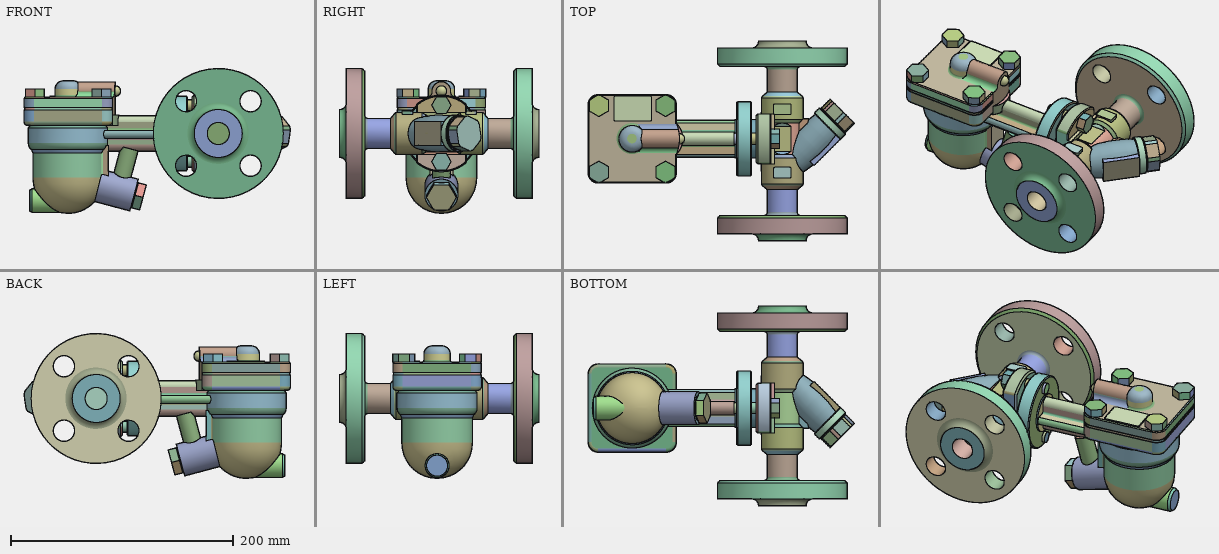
import cadquery as cq
import math

TRAP_X = -135.0
PLANE_Y = 2.0

HALF_ARC = math.sin(math.radians(45))

FACE_Y = 90.0
FLANGE_FRONT_Y = 83.8
FLANGE_BACK_Y = 67.0
FLANGE_R = 58.5
FLANGE_CHAMFER = 2.5
RAISED_FACE_R = 21.5
RAISED_FACE_FILLET = 6.0
FLANGE_HOLE_D = 19.0
FLANGE_HOLE_CIRCLE_R = 41.0
FLANGE_HOLE_COUNT = 4
FLANGE_HOLE_TURN = 45
BORE_D = 20.0
BORE_DEPTH = FACE_Y - FLANGE_BACK_Y
NECK_R = 13.7
NECK_FILLET = 2.6
NECK_END_Y = 44.0
SOCKET_R = 19.0
SOCKET_EDGE_R = 18.0
SOCKET_EDGE_Y = 40.3
SOCKET_START_Y = 39.0

CORE_R = 16.8
CORE_TOP_Z = 15.0
CORE_FLAT_HALF = 11.3
CORE_HALF = 14.2
CORE_SHOULDER_HALF = 17.3

PAD_LENGTH = 16.0
PAD_WIDTH = 9.8
PAD_Y = 28.5
PAD_TOP_Z = 20.2
PAD_CORNER = 1.5

BRANCH_ANGLE = 45
BRANCH_SHIFT = 13.7
BRANCH_ROOT_T = -7.2
BRANCH_ROOT_R = 13.7
BRANCH_BELLY_T = 12.0
BRANCH_BELLY_R = 16.3
BRANCH_END_R = 15.4
RING_T = 38.0
RING_R = 16.8
RING_THICK = 7.0
RING_EDGE = 0.5
CAP_GROOVE = 1.0
CAP_GROOVE_R = 15.0
CAP_END_T = 57.0
CAP_HEX_R = 16.8
CAP_TRIM_R = 15.8
CAP_TURN = 41.6
BOSS_START_T = 4.5
BOSS_OFFSET = 16.5
BOSS_HALF_HEIGHT = 10.8
GUSSET_Y = 20.2
GUSSET_HALF_HEIGHT = 7.2

COLLAR_X = -23.8
COLLAR_BACK_X = -10.0
COLLAR_R = 34.5
COLLAR_HALF_WIDTH = 22.5
COLLAR_EDGE = 1.7
COLLAR_BACK_EDGE = 1.0
COLLAR_CORNER = 3.0
SADDLE_BACK_X = -7.0
SADDLE_HALF_HEIGHT = 19.0
LOOSE_FLANGE_X = -41.0
LOOSE_FLANGE_BACK_X = -27.8
LOOSE_FLANGE_R = 33.5
LOOSE_FLANGE_CHAMFER = 1.0
STUD_D = 10.0
STUD_Z = 25.5
STUD_X = -43.7
NUT_END_X = -2.5
NUT_CORNER_D = 17.5

ARM_DISC_R = 17.5
ARM_DISC_X = -42.5
ARM_TUBE_R = 6.0
ARM_TUBE_Z = 10.0
WEB_FILLET = 1.7
BAR_Z = -0.7
BAR_HALF_HEIGHT = 3.5
BAR_EDGE = 14.2
BAR_TIP = 16.8

COVER_HALF = 39.8
COVER_CORNER_R = 9.0
COVER_TOP_Z = 32.6
COVER_BOTTOM_Z = 23.5
GASKET_BOTTOM_Z = 21.0
GASKET_INSET = 0.5
BODY_FLANGE_BOTTOM_Z = 7.2
BODY_FLANGE_ROUND = 3.4
COVER_CHAMFER = 1.0
HEAD_PITCH = 60.0
HEAD_CORNER_D = 20.0
HEAD_HEIGHT = 7.5
PLATE_X = (-151.7, -117.5)
PLATE_Y = (17.8, 40.5)
PLATE_THICK = 1.2
PLATE_CORNER = 2.0

DOME_R = 12.0
DOME_TOP_Z = 47.5
DOME_TOP_D = 8.6
DOME_FLARE = 2.0
PASSAGE_R = 8.5
PASSAGE_Z = 38.2
PASSAGE_FOOT = 13.0
PASSAGE_END_X = -92.6
PASSAGE_PLUG_R = 4.8
BULGE_HALF = 14.0
BULGE_ROOT_X = -89.5
BULGE_ROOT_TOP_Z = 16.8

BOWL_R = 32.0
BOWL_CENTRE_Z = -40.0
SHOULDER_R = 36.0
SHOULDER_TOP_Z = 5.0
SHOULDER_BOTTOM_Z = -9.0
SHOULDER_NECK_R = 34.3
SHOULDER_BEND_R = 33.0
SHOULDER_BEND_Z = -14.6
BOWL_TOP_Z = -17.5
RIB_X = -99.0
RIB_HALF_WIDTH = 10.3
RIB_TOP_Z = -10.8
RIB_FILLET = 2.0

STRAINER_TILT = 15
STRAINER_END = (-75.8, -55.5)
STRAINER_R = 15.0
STRAINER_LENGTH = 43.2
STRAINER_GROOVE = 1.0
STRAINER_GROOVE_R = 11.3
STRAINER_NUT_LENGTH = 8.5
STRAINER_NUT_CORNER_D = 27.0
RISER_TOP = (-80.0, -13.7)
RISER_D = 16.0
RISER_LENGTH = 36.0

DRAIN_D = 21.5
DRAIN_FACE_D = 19.0
DRAIN_EDGE = 2.5
DRAIN_X = -170.0
DRAIN_Z = -60.5


def disc_x(x_start, x_end, radius, z=0.0):
    """Cylinder along X in the centre plane."""
    plane = cq.Plane((x_start, PLANE_Y, z), xDir=(0, 1, 0), normal=(1, 0, 0))
    return cq.Workplane(plane).circle(radius).extrude(x_end - x_start)


def hexagon(plane, corner_r, length, turn=0.0):
    """Hexagonal prism with its first corner turned from the plane's X direction."""
    angles = [math.radians(turn + 60 * i) for i in range(6)]
    points = [(corner_r * math.cos(a), corner_r * math.sin(a)) for a in angles]
    return cq.Workplane(plane).polyline(points).close().extrude(length)



def pipe_end(side):
    """Flange, neck and outer end of the socket on one side (+1 or -1) of the pipeline."""
    face_foot_r = RAISED_FACE_R + RAISED_FACE_FILLET
    neck_foot_r = NECK_R + NECK_FILLET
    body = (
        cq.Workplane("XY")
        .moveTo(0, FACE_Y)
        .lineTo(RAISED_FACE_R, FACE_Y)
        .lineTo(RAISED_FACE_R, FLANGE_FRONT_Y + RAISED_FACE_FILLET)
        .threePointArc(
            (
                face_foot_r - RAISED_FACE_FILLET * HALF_ARC,
                FLANGE_FRONT_Y + RAISED_FACE_FILLET * (1 - HALF_ARC),
            ),
            (face_foot_r, FLANGE_FRONT_Y),
        )
        .lineTo(FLANGE_R, FLANGE_FRONT_Y)
        .lineTo(FLANGE_R, FLANGE_BACK_Y + FLANGE_CHAMFER)
        .lineTo(FLANGE_R - FLANGE_CHAMFER, FLANGE_BACK_Y)
        .lineTo(neck_foot_r, FLANGE_BACK_Y)
        .threePointArc(
            (neck_foot_r - NECK_FILLET * HALF_ARC, FLANGE_BACK_Y - NECK_FILLET * (1 - HALF_ARC)),
            (NECK_R, FLANGE_BACK_Y - NECK_FILLET),
        )
        .lineTo(NECK_R, NECK_END_Y)
        .lineTo(SOCKET_EDGE_R, SOCKET_EDGE_Y)
        .lineTo(SOCKET_R, SOCKET_START_Y)
        .lineTo(0, SOCKET_START_Y)
        .close()
        .revolve(360, (0, 0), (0, 1))
    )
    outer_face = cq.Workplane("XZ", origin=(0, FACE_Y, 0))
    hole_pattern = outer_face.polarArray(FLANGE_HOLE_CIRCLE_R, FLANGE_HOLE_TURN, 360, FLANGE_HOLE_COUNT)
    holes = hole_pattern.circle(FLANGE_HOLE_D / 2).extrude(FACE_Y - NECK_END_Y)
    bore = outer_face.circle(BORE_D / 2).extrude(BORE_DEPTH)
    body = body.cut(holes).cut(bore)
    return body if side > 0 else body.mirror("XZ")


def valve_core():
    """Two sockets joined by a slimmer middle with a flat top."""
    core = (
        cq.Workplane("XY")
        .moveTo(0, -SOCKET_START_Y)
        .lineTo(SOCKET_R, -SOCKET_START_Y)
        .lineTo(SOCKET_R, PLANE_Y - CORE_SHOULDER_HALF)
        .lineTo(CORE_R, PLANE_Y - CORE_HALF)
        .lineTo(CORE_R, PLANE_Y + CORE_HALF)
        .lineTo(SOCKET_R, PLANE_Y + CORE_SHOULDER_HALF)
        .lineTo(SOCKET_R, SOCKET_START_Y)
        .lineTo(0, SOCKET_START_Y)
        .close()
        .revolve(360, (0, 0), (0, 1))
    )
    flat = (
        cq.Workplane("YZ", origin=(0, PLANE_Y, 0))
        .polyline([
            (-CORE_FLAT_HALF, CORE_TOP_Z),
            (CORE_FLAT_HALF, CORE_TOP_Z),
            (CORE_HALF, CORE_R),
            (CORE_SHOULDER_HALF, SOCKET_R),
            (-CORE_SHOULDER_HALF, SOCKET_R),
            (-CORE_HALF, CORE_R),
        ])
        .close()
        .extrude(SOCKET_R, both=True)
    )
    core = core.cut(flat)
    for y in (-PAD_Y, PAD_Y):
        pad = cq.Workplane("XY", origin=(0, y, 0)).rect(PAD_LENGTH, PAD_WIDTH).extrude(PAD_TOP_Z)
        core = core.union(pad.edges("|Z").fillet(PAD_CORNER))
    return core


def branch_plane(t):
    """Plane across the branch axis, at distance t along it; its Y direction is up."""
    along = math.radians(BRANCH_ANGLE)
    direction = (math.cos(along), math.sin(along), 0)
    sideways = (-math.sin(along), math.cos(along), 0)
    origin = (BRANCH_SHIFT + t * direction[0], -BRANCH_SHIFT + t * direction[1], 0)
    return cq.Plane(origin, xDir=sideways, normal=direction)


def strainer_branch():
    """Branch with its ring, hexagonal cap, side boss and gusset."""
    start = branch_plane(0)
    side_plane = cq.Plane(start.origin, xDir=start.xDir, normal=(0, 0, -1))
    tube = (
        cq.Workplane(side_plane)
        .moveTo(0, BRANCH_ROOT_T)
        .lineTo(BRANCH_ROOT_R, BRANCH_ROOT_T)
        .threePointArc((BRANCH_BELLY_R, BRANCH_BELLY_T), (BRANCH_END_R, RING_T))
        .lineTo(0, RING_T)
        .close()
        .revolve(360, (0, 0), (0, 1))
    )
    ring = cq.Workplane(branch_plane(RING_T)).circle(RING_R).extrude(RING_THICK).edges().chamfer(RING_EDGE)
    groove_t = RING_T + RING_THICK
    groove = cq.Workplane(branch_plane(groove_t)).circle(CAP_GROOVE_R).extrude(CAP_GROOVE)
    cap_t = groove_t + CAP_GROOVE
    cap_length = CAP_END_T - cap_t
    trim = cq.Workplane(branch_plane(cap_t)).circle(CAP_TRIM_R).extrude(cap_length)
    cap = hexagon(branch_plane(cap_t), CAP_HEX_R, cap_length, CAP_TURN).intersect(trim)
    boss = (
        cq.Workplane(branch_plane(BOSS_START_T))
        .center(-BOSS_OFFSET / 2, 0)
        .rect(BOSS_OFFSET, 2 * BOSS_HALF_HEIGHT)
        .extrude(RING_T - BOSS_START_T)
    )
    gusset = (
        cq.Workplane("XY")
        .polyline([(0, 0), (SOCKET_R, GUSSET_Y), (BRANCH_SHIFT + GUSSET_Y / 2, GUSSET_Y), (GUSSET_Y, 0)])
        .close()
        .extrude(GUSSET_HALF_HEIGHT, both=True)
    )
    return tube.union(ring).union(groove).union(cap).union(boss).union(gusset)


def connector():
    """Collar on the valve, loose flange, and the two studs with nuts that join them."""
    slab = cq.Workplane("XY", origin=(0, PLANE_Y, 0)).box(4 * COLLAR_R, 2 * COLLAR_HALF_WIDTH, 4 * COLLAR_R)
    collar = disc_x(COLLAR_X, COLLAR_BACK_X, COLLAR_R).intersect(slab)
    collar = collar.edges("|X").fillet(COLLAR_CORNER)
    collar = collar.faces("<X").edges().chamfer(COLLAR_EDGE)
    collar = collar.faces(">X").edges().chamfer(COLLAR_BACK_EDGE)
    saddle = (
        cq.Workplane("YZ", origin=(COLLAR_BACK_X - COLLAR_BACK_EDGE, PLANE_Y, 0))
        .rect(2 * COLLAR_HALF_WIDTH, 2 * SADDLE_HALF_HEIGHT)
        .extrude(SADDLE_BACK_X - COLLAR_BACK_X + COLLAR_BACK_EDGE)
    )
    bridge = disc_x(COLLAR_BACK_X - COLLAR_BACK_EDGE, 0, CORE_TOP_Z)
    flange = disc_x(LOOSE_FLANGE_X, LOOSE_FLANGE_BACK_X, LOOSE_FLANGE_R)
    flange = flange.edges().chamfer(LOOSE_FLANGE_CHAMFER)
    flange = flange.cut(disc_x(LOOSE_FLANGE_X, LOOSE_FLANGE_BACK_X, ARM_DISC_R))
    joint = collar.union(saddle).union(bridge).union(flange)
    for z in (-STUD_Z, STUD_Z):
        nut_plane = cq.Plane((COLLAR_BACK_X, PLANE_Y, z), xDir=(0, 1, 0), normal=(1, 0, 0))
        joint = joint.union(disc_x(STUD_X, COLLAR_BACK_X, STUD_D / 2, z))
        joint = joint.union(hexagon(nut_plane, NUT_CORNER_D / 2, NUT_END_X - COLLAR_BACK_X))
    return joint


def make_valve():
    """The pipeline valve as one solid: core, strainer branch, connector and both pipe ends."""
    valve = valve_core().union(strainer_branch()).union(connector())
    for side in (-1, 1):
        valve = valve.union(pipe_end(side))
    return valve



def square_block(half, bottom_z, top_z):
    """Square block on the trap axis with rounded upright corners."""
    block = cq.Workplane("XY", origin=(TRAP_X, PLANE_Y, bottom_z)).rect(2 * half, 2 * half)
    return block.extrude(top_z - bottom_z).edges("|Z").fillet(COVER_CORNER_R)


def cover():
    """Square cover, gasket and body flange, with bolt heads and name plate."""
    lid = square_block(COVER_HALF, COVER_BOTTOM_Z, COVER_TOP_Z).faces(">Z").edges().chamfer(COVER_CHAMFER)
    gasket = square_block(COVER_HALF - GASKET_INSET, GASKET_BOTTOM_Z, COVER_BOTTOM_Z)
    flange = square_block(COVER_HALF, BODY_FLANGE_BOTTOM_Z, GASKET_BOTTOM_Z)
    flange = flange.faces("<Z").edges().fillet(BODY_FLANGE_ROUND)
    block = lid.union(gasket).union(flange)
    for dx in (-HEAD_PITCH / 2, HEAD_PITCH / 2):
        for dy in (-HEAD_PITCH / 2, HEAD_PITCH / 2):
            seat = cq.Plane((TRAP_X + dx, PLANE_Y + dy, COVER_TOP_Z), xDir=(0, 1, 0), normal=(0, 0, 1))
            block = block.union(hexagon(seat, HEAD_CORNER_D / 2, HEAD_HEIGHT))
    plate = (
        cq.Workplane("XY", origin=(sum(PLATE_X) / 2, sum(PLATE_Y) / 2, COVER_TOP_Z))
        .rect(PLATE_X[1] - PLATE_X[0], PLATE_Y[1] - PLATE_Y[0])
        .extrude(PLATE_THICK)
        .edges("|Z").fillet(PLATE_CORNER)
    )
    return block.union(plate)


def bulge_column(end_x, top_z):
    """Upright block with a bowed end, reaching from the trap axis past the arm side of the cover."""
    side_x = TRAP_X + COVER_HALF
    return (
        cq.Workplane("XY", origin=(0, PLANE_Y, BODY_FLANGE_BOTTOM_Z))
        .moveTo(TRAP_X, -BULGE_HALF)
        .lineTo(side_x, -BULGE_HALF)
        .threePointArc((end_x, 0), (side_x, BULGE_HALF))
        .lineTo(TRAP_X, BULGE_HALF)
        .close()
        .extrude(top_z - BODY_FLANGE_BOTTOM_Z)
    )


def vent():
    """Dome on the cover, and the passage leading from it to the arm side."""
    round_r = DOME_R - DOME_TOP_D / 2
    dome_side_z = DOME_TOP_Z - round_r
    dome = (
        cq.Workplane("XZ")
        .moveTo(0, COVER_TOP_Z)
        .lineTo(DOME_R + DOME_FLARE, COVER_TOP_Z)
        .threePointArc(
            (DOME_R + DOME_FLARE * (1 - HALF_ARC), COVER_TOP_Z + DOME_FLARE * (1 - HALF_ARC)),
            (DOME_R, COVER_TOP_Z + DOME_FLARE),
        )
        .lineTo(DOME_R, dome_side_z)
        .threePointArc(
            (DOME_TOP_D / 2 + round_r * HALF_ARC, dome_side_z + round_r * HALF_ARC),
            (DOME_TOP_D / 2, DOME_TOP_Z),
        )
        .lineTo(0, DOME_TOP_Z)
        .close()
        .revolve(360, (0, 0), (0, 1))
        .translate((TRAP_X, PLANE_Y, 0))
    )
    foot_r = PASSAGE_FOOT - PASSAGE_R
    passage = (
        cq.Workplane("YZ", origin=(TRAP_X, PLANE_Y, 0))
        .moveTo(-PASSAGE_FOOT, COVER_TOP_Z)
        .threePointArc(
            (-PASSAGE_R - foot_r * (1 - HALF_ARC), COVER_TOP_Z + foot_r * (1 - HALF_ARC)),
            (-PASSAGE_R, COVER_TOP_Z + foot_r),
        )
        .lineTo(-PASSAGE_R, PASSAGE_Z)
        .threePointArc((0, PASSAGE_Z + PASSAGE_R), (PASSAGE_R, PASSAGE_Z))
        .lineTo(PASSAGE_R, COVER_TOP_Z + foot_r)
        .threePointArc(
            (PASSAGE_R + foot_r * (1 - HALF_ARC), COVER_TOP_Z + foot_r * (1 - HALF_ARC)),
            (PASSAGE_FOOT, COVER_TOP_Z),
        )
        .close()
        .extrude(PASSAGE_END_X - TRAP_X)
    )
    passage = passage.intersect(bulge_column(PASSAGE_END_X, PASSAGE_Z + PASSAGE_R))
    bulge = bulge_column(PASSAGE_END_X, COVER_TOP_Z)
    root = bulge_column(BULGE_ROOT_X, BULGE_ROOT_TOP_Z)
    plug = cq.Workplane("XY", origin=(PASSAGE_END_X, PLANE_Y, PASSAGE_Z)).sphere(PASSAGE_PLUG_R)
    return dome.union(passage).union(bulge).union(root).union(plug)


def bowl():
    """Round bowl with a wider shoulder above and a hemispherical bottom."""
    return (
        cq.Workplane("XZ")
        .moveTo(0, BODY_FLANGE_BOTTOM_Z)
        .lineTo(SHOULDER_NECK_R, BODY_FLANGE_BOTTOM_Z)
        .lineTo(SHOULDER_R, SHOULDER_TOP_Z)
        .lineTo(SHOULDER_R, SHOULDER_BOTTOM_Z)
        .tangentArcPoint((SHOULDER_BEND_R, SHOULDER_BEND_Z), relative=False)
        .lineTo(BOWL_R, BOWL_TOP_Z)
        .lineTo(BOWL_R, BOWL_CENTRE_Z)
        .threePointArc((BOWL_R * HALF_ARC, BOWL_CENTRE_Z - BOWL_R * HALF_ARC), (0, BOWL_CENTRE_Z - BOWL_R))
        .close()
        .revolve(360, (0, 0), (0, 1))
        .translate((TRAP_X, PLANE_Y, 0))
    )


def bowl_with_rib():
    """Bowl with the upright passage blended into its arm side."""
    length = RIB_X - TRAP_X
    rib = (
        cq.Workplane("XY", origin=(TRAP_X + length / 2, PLANE_Y, BOWL_CENTRE_Z))
        .rect(length, 2 * RIB_HALF_WIDTH)
        .extrude(RIB_TOP_Z - BOWL_CENTRE_Z)
    )
    root_x = TRAP_X + math.sqrt(BOWL_R**2 - RIB_HALF_WIDTH**2)
    roots = cq.selectors.BoxSelector(
        (root_x - RIB_FILLET, PLANE_Y - BOWL_R, BOWL_CENTRE_Z),
        (root_x + RIB_FILLET, PLANE_Y + BOWL_R, RIB_TOP_Z),
    )
    return bowl().union(rib).edges("|Z").edges(roots).fillet(RIB_FILLET)


def trap_strainer():
    """Tilted strainer housing with its hexagonal nut, and the riser up to the arm."""
    tilt = math.radians(STRAINER_TILT)
    out = (math.cos(tilt), 0, -math.sin(tilt))
    down = (-math.sin(tilt), 0, -math.cos(tilt))
    end_plane = cq.Plane((STRAINER_END[0], PLANE_Y, STRAINER_END[1]), xDir=(0, 1, 0), normal=out)
    housing = cq.Workplane(end_plane).circle(STRAINER_R).extrude(-STRAINER_LENGTH)
    groove = cq.Workplane(end_plane).circle(STRAINER_GROOVE_R).extrude(STRAINER_GROOVE)
    nut_plane = cq.Plane(end_plane.origin + end_plane.zDir * STRAINER_GROOVE, xDir=(0, 1, 0), normal=out)
    nut = hexagon(nut_plane, STRAINER_NUT_CORNER_D / 2, STRAINER_NUT_LENGTH - STRAINER_GROOVE)
    riser_plane = cq.Plane((RISER_TOP[0], PLANE_Y, RISER_TOP[1]), xDir=(0, 1, 0), normal=down)
    riser = cq.Workplane(riser_plane).circle(RISER_D / 2).extrude(RISER_LENGTH)
    return housing.union(groove).union(nut).union(riser)


def drain_stub():
    """Closed horizontal stub low on the far side of the bowl."""
    stub = disc_x(DRAIN_X, TRAP_X, DRAIN_D / 2, DRAIN_Z)
    return stub.faces("<X").edges().chamfer(DRAIN_EDGE, (DRAIN_D - DRAIN_FACE_D) / 2)


def arm():
    """Cross-shaped arm from the bowl to the disc that seats on the collar."""
    length = ARM_DISC_X - TRAP_X
    start = cq.Workplane("YZ", origin=(TRAP_X, PLANE_Y, 0))
    web = start.slot2D(2 * (ARM_TUBE_Z + ARM_TUBE_R), 2 * ARM_TUBE_R, 90).extrude(length)
    bar_top = BAR_Z + BAR_HALF_HEIGHT
    bar_bottom = BAR_Z - BAR_HALF_HEIGHT
    bar = (
        start.moveTo(-BAR_EDGE, bar_top)
        .lineTo(BAR_EDGE, bar_top)
        .threePointArc((BAR_TIP, BAR_Z), (BAR_EDGE, bar_bottom))
        .lineTo(-BAR_EDGE, bar_bottom)
        .threePointArc((-BAR_TIP, BAR_Z), (-BAR_EDGE, bar_top))
        .close()
        .extrude(length)
    )
    inner_corners = cq.selectors.BoxSelector(
        (TRAP_X, PLANE_Y - ARM_TUBE_R - WEB_FILLET, bar_bottom - WEB_FILLET),
        (ARM_DISC_X, PLANE_Y + ARM_TUBE_R + WEB_FILLET, bar_top + WEB_FILLET),
    )
    cross = web.union(bar).edges("|X").edges(inner_corners).fillet(WEB_FILLET)
    return cross.union(disc_x(ARM_DISC_X, COLLAR_X, ARM_DISC_R))


def make_trap():
    """The trap as one solid, including the arm whose disc sits in the loose flange."""
    trap = cover().union(vent()).union(bowl_with_rib())
    return trap.union(trap_strainer()).union(drain_stub()).union(arm())


valve = make_valve()
trap = make_trap()

result = cq.Compound.makeCompound([*valve.vals(), *trap.vals()])